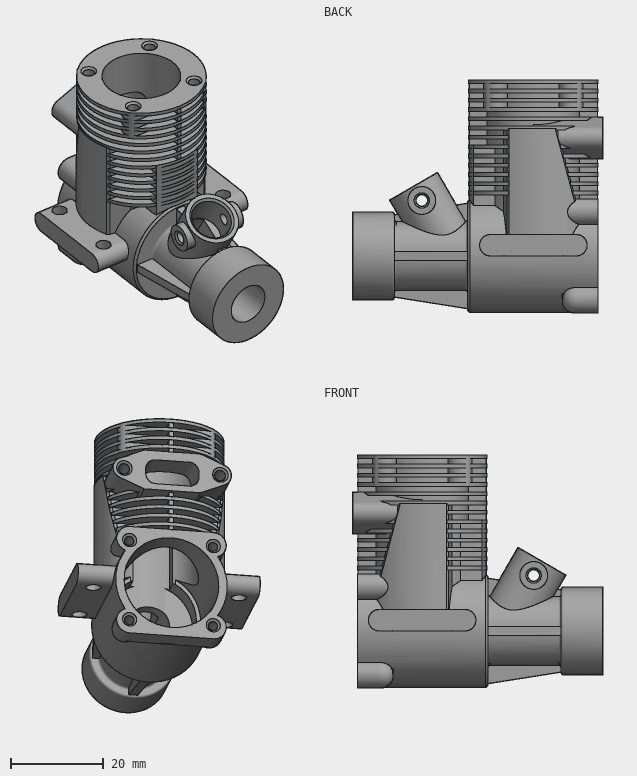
import cadquery as cq
import math


DECK_Z = 38.0
FIN_RADIUS = 14.0
FIN_THICKNESS = 0.8
FIN_PITCH = 2.0
FIN_COUNT = 13
BARREL_RADIUS = 10.0
CYLINDER_BORE_RADIUS = 8.5
FIN_WEB_WIDTH = 0.95
FIN_WEB_REACH = 13.85

HEAD_BOLT_CIRCLE_RADIUS = 11.5
HEAD_BOSS_RADIUS = 2.58
HEAD_BOSS_FIN = 3
HEAD_HOLE_DEPTH = 6.0
HEAD_HOLE_DIAMETER = 2.5
HEAD_HOLE_MOUTH_DIAMETER = 3.4

CASE_REAR_X = -FIN_RADIUS
CASE_FRONT_X = 14.2
CASE_RADIUS = 12.25
CASE_CHAMFER = 0.5
CASE_BORE_RADIUS = 10.4
CASE_BORE_END_X = 6.92
CASE_RECESS_RADIUS = 9.5
CASE_RECESS_END_X = 11.5
SHAFT_BORE_RADIUS = 4.5

NOSE_RADIUS = 7.5
NOSE_FILLET = 0.5
BEARING_START_X = 30.0
BEARING_RADIUS = 9.5
NOSE_END_X = 39.0
NOSE_RIB_THICKNESS = 2.0
NOSE_RIB_CASE_HEIGHT = 11.4
NOSE_RIB_BEARING_HEIGHT = 8.9

LUG_CENTER_Y = 9.2
LUG_CENTER_Z = 9.5
LUG_RADIUS = 2.85
LUG_LENGTH = 5.0
LUG_HOLE_OFFSET = 9.2
LUG_HOLE_DIAMETER = 2.05
LUG_HOLE_MOUTH_DIAMETER = 3.1

SIDE_BULGE_RADIUS = 14.13
SIDE_BULGE_TOP_Z = 27.5
SIDE_BULGE_TOP_REAR_X = -5.1
SIDE_BULGE_SLOPE = math.radians(14.7)
SIDE_BULGE_FRONT_X = 5.4
SIDE_BULGE_CHAMFER = 0.4
SIDE_BULGE_DRAFT = math.radians(9.5)
FRONT_BULGE_FIN = 7
FRONT_BULGE_HALF_WIDTH = 5.6
FRONT_BULGE_FACE_HALF_WIDTH = 5.5
FRONT_BULGE_SIDE_X = 11.95
FRONT_BULGE_FACE_X = 12.95
FRONT_BULGE_CROWN_X = 13.9
TRANSFER_RADIUS = 12.0
TRANSFER_WIDTH = 8.7
TRANSFER_ROOF = FRONT_BULGE_CROWN_X - TRANSFER_RADIUS

EXHAUST_FACE_X = -15.0
EXHAUST_CENTER_Z = 25.45
EXHAUST_HALF_HEIGHT = 4.5
EXHAUST_FLAT_HALF_WIDTH = 6.2
EXHAUST_BOLT_Y = 10.55
EXHAUST_EAR_RADIUS = 2.45
EXHAUST_PORT_WIDTH = 11.7
EXHAUST_PORT_HEIGHT = 5.55
EXHAUST_PORT_CORNER = 2.2
EXHAUST_PORT_Z = 25.1
EXHAUST_HOLE_DIAMETER = 2.4
EXHAUST_HOLE_MOUTH_DIAMETER = 3.4
EXHAUST_HOLE_DEPTH = 6.0

MOUNT_LENGTH = 23.2
MOUNT_THICKNESS = 4.65
MOUNT_SPAN = 40.0
MOUNT_HOLE_DIAMETER = 3.25
MOUNT_HOLE_X = 8.0
MOUNT_HOLE_Y = 16.0

INTAKE_TILT = 30.0
INTAKE_TOP_X = 25.85
INTAKE_TOP_Z = 15.05
INTAKE_RADIUS = 6.0
INTAKE_TUBE_LENGTH = 13.5
INTAKE_BORE_RADIUS = 4.5
INTAKE_MOUTH_RADIUS = 5.0
INTAKE_BORE_DEPTH = 8.0
INTAKE_SLOT_WIDTH = 5.5
INTAKE_SLOT_RADIUS = 4.2
CLAMP_DEPTH = 3.55
CLAMP_BOSS_RADIUS = 3.0
CLAMP_BOSS_SPAN = 15.0
CLAMP_HOLE_DIAMETER = 2.5
CLAMP_HOLE_MOUTH_DIAMETER = 3.3


def x_cylinder(radius, start_x, end_x, y=0.0, z=0.0):
    axis_start = cq.Vector(start_x, y, z)
    return cq.Workplane(cq.Solid.makeCylinder(radius, end_x - start_x, axis_start, cq.Vector(1, 0, 0)))


def y_cylinder(radius, span, x, z):
    axis_start = cq.Vector(x, -span / 2, z)
    return cq.Workplane(cq.Solid.makeCylinder(radius, span, axis_start, cq.Vector(0, 1, 0)))


def z_cylinder(radius, start_z, end_z, x=0.0, y=0.0):
    axis_start = cq.Vector(x, y, start_z)
    return cq.Workplane(cq.Solid.makeCylinder(radius, end_z - start_z, axis_start))


def fin_top(index):
    return DECK_Z - index * FIN_PITCH


def mouthed_hole(position, direction, diameter, mouth_diameter, depth):
    """Round hole with a 45 degree chamfered mouth."""
    start = cq.Vector(*position)
    axis = cq.Vector(*direction)
    mouth_depth = (mouth_diameter - diameter) / 2
    hole = cq.Solid.makeCylinder(diameter / 2, depth, start, axis)
    mouth = cq.Solid.makeCone(mouth_diameter / 2, diameter / 2, mouth_depth, start, axis)
    return cq.Workplane(hole).union(cq.Workplane(mouth))


def head_bolt_points():
    offset = HEAD_BOLT_CIRCLE_RADIUS / math.sqrt(2)
    return [(sx * offset, sy * offset) for sx in (-1, 1) for sy in (-1, 1)]


def finned_cylinder():
    body = z_cylinder(BARREL_RADIUS, 0, DECK_Z)
    lowest_fin_bottom = fin_top(FIN_COUNT - 1) - FIN_THICKNESS
    for index in range(FIN_COUNT):
        body = body.union(z_cylinder(FIN_RADIUS, fin_top(index) - FIN_THICKNESS, fin_top(index)))
    web_bottom = lowest_fin_bottom - FIN_PITCH
    web = cq.Workplane("XY").workplane(offset=web_bottom).rect(2 * FIN_WEB_REACH, FIN_WEB_WIDTH)
    body = body.union(web.extrude(DECK_Z - web_bottom))
    boss_bottom = fin_top(HEAD_BOSS_FIN) - FIN_THICKNESS
    for x, y in head_bolt_points():
        body = body.union(z_cylinder(HEAD_BOSS_RADIUS, boss_bottom, DECK_Z, x, y))
    boss_offset = HEAD_BOLT_CIRCLE_RADIUS / math.sqrt(2)
    walls = cq.Workplane("XY").workplane(offset=boss_bottom)
    walls = walls.rect(2 * (boss_offset + HEAD_BOSS_RADIUS), 2 * boss_offset)
    body = body.union(walls.extrude(DECK_Z - boss_bottom))
    return body


def crankcase_and_nose():
    """Turned body about X: crankcase, necked nose and front bearing housing."""
    f = NOSE_FILLET
    bend = f * (1 - math.sqrt(0.5))
    profile = (
        cq.Workplane("XY")
        .moveTo(CASE_REAR_X, 0)
        .lineTo(CASE_REAR_X, CASE_RADIUS)
        .lineTo(CASE_FRONT_X - CASE_CHAMFER, CASE_RADIUS)
        .lineTo(CASE_FRONT_X, CASE_RADIUS - CASE_CHAMFER)
        .lineTo(CASE_FRONT_X, NOSE_RADIUS + f)
        .threePointArc((CASE_FRONT_X + bend, NOSE_RADIUS + bend), (CASE_FRONT_X + f, NOSE_RADIUS))
        .lineTo(BEARING_START_X - f, NOSE_RADIUS)
        .threePointArc((BEARING_START_X - bend, NOSE_RADIUS + bend), (BEARING_START_X, NOSE_RADIUS + f))
        .lineTo(BEARING_START_X, BEARING_RADIUS - f)
        .threePointArc((BEARING_START_X + bend, BEARING_RADIUS - bend), (BEARING_START_X + f, BEARING_RADIUS))
        .lineTo(NOSE_END_X, BEARING_RADIUS)
        .lineTo(NOSE_END_X, 0)
        .close()
    )
    return profile.revolve(360, (0, 0, 0), (1, 0, 0))


def nose_ribs():
    """Two crossed tapered plates, giving four ribs around the nose."""
    plate = (
        cq.Workplane("XZ")
        .polyline([
            (CASE_FRONT_X - CASE_CHAMFER, -NOSE_RIB_CASE_HEIGHT),
            (CASE_FRONT_X, -NOSE_RIB_CASE_HEIGHT),
            (BEARING_START_X, -NOSE_RIB_BEARING_HEIGHT),
            (BEARING_START_X, NOSE_RIB_BEARING_HEIGHT),
            (CASE_FRONT_X, NOSE_RIB_CASE_HEIGHT),
            (CASE_FRONT_X - CASE_CHAMFER, NOSE_RIB_CASE_HEIGHT),
        ])
        .close()
        .extrude(NOSE_RIB_THICKNESS / 2, both=True)
    )
    return plate.union(plate.rotate((0, 0, 0), (1, 0, 0), 90))


def backplate_lugs():
    """Four lugs joined in pairs by flat pads above and below the crankcase.

    The lower lugs have rounded ends; the upper ones run into the side bulges.
    """
    round_x = CASE_REAR_X + LUG_LENGTH
    pad_height = 2 * (LUG_CENTER_Z + LUG_RADIUS)
    lugs = cq.Workplane("XY").box(LUG_LENGTH, 2 * LUG_CENTER_Y, pad_height)
    lugs = lugs.translate((CASE_REAR_X + LUG_LENGTH / 2, 0, 0))
    for y in (-LUG_CENTER_Y, LUG_CENTER_Y):
        for z in (-LUG_CENTER_Z, LUG_CENTER_Z):
            lugs = lugs.union(x_cylinder(LUG_RADIUS, CASE_REAR_X, round_x, y, z))
        lugs = lugs.union(cq.Workplane("XY").sphere(LUG_RADIUS).translate((round_x, y, -LUG_CENTER_Z)))
        lugs = lugs.union(x_cylinder(LUG_RADIUS, round_x, round_x + LUG_RADIUS, y, LUG_CENTER_Z))
    return lugs


def side_bulges():
    """Passages on both flanks: sloped rear wall and a front wall drafted in plan."""
    slope_run = SIDE_BULGE_TOP_Z * math.tan(SIDE_BULGE_SLOPE)
    draft_run = SIDE_BULGE_RADIUS * math.tan(SIDE_BULGE_DRAFT)
    root_front_x = SIDE_BULGE_FRONT_X + draft_run
    rear_limit = (
        cq.Workplane("XZ")
        .polyline([
            (SIDE_BULGE_TOP_REAR_X - slope_run, 0),
            (SIDE_BULGE_TOP_REAR_X, SIDE_BULGE_TOP_Z),
            (root_front_x, SIDE_BULGE_TOP_Z),
            (root_front_x, 0),
        ])
        .close()
        .extrude(SIDE_BULGE_RADIUS, both=True)
    )
    plan = (
        cq.Workplane("XY")
        .polyline([
            (-SIDE_BULGE_RADIUS, -SIDE_BULGE_RADIUS),
            (SIDE_BULGE_FRONT_X, -SIDE_BULGE_RADIUS),
            (root_front_x, 0),
            (SIDE_BULGE_FRONT_X, SIDE_BULGE_RADIUS),
            (-SIDE_BULGE_RADIUS, SIDE_BULGE_RADIUS),
        ])
        .close()
        .extrude(SIDE_BULGE_TOP_Z)
    )
    bulges = z_cylinder(SIDE_BULGE_RADIUS, 0, SIDE_BULGE_TOP_Z).intersect(plan).intersect(rear_limit)
    rims = bulges.faces("%CYLINDER").edges("not(>Z or <Z)")
    return rims.chamfer(SIDE_BULGE_CHAMFER)


def front_bulge():
    return (
        cq.Workplane("XY")
        .moveTo(0, -FRONT_BULGE_HALF_WIDTH)
        .lineTo(FRONT_BULGE_SIDE_X, -FRONT_BULGE_HALF_WIDTH)
        .lineTo(FRONT_BULGE_FACE_X, -FRONT_BULGE_FACE_HALF_WIDTH)
        .threePointArc((FRONT_BULGE_CROWN_X, 0), (FRONT_BULGE_FACE_X, FRONT_BULGE_FACE_HALF_WIDTH))
        .lineTo(FRONT_BULGE_SIDE_X, FRONT_BULGE_HALF_WIDTH)
        .lineTo(0, FRONT_BULGE_HALF_WIDTH)
        .close()
        .extrude(fin_top(FRONT_BULGE_FIN))
    )


def exhaust_flange():
    """Six-sided flange with round ears, reaching inward to the cylinder axis."""
    dy = EXHAUST_BOLT_Y - EXHAUST_FLAT_HALF_WIDTH
    dz = EXHAUST_HALF_HEIGHT
    distance = math.hypot(dy, dz)
    normal_angle = math.atan2(dz, -dy) - math.acos(EXHAUST_EAR_RADIUS / distance)
    tangent_y = EXHAUST_BOLT_Y + EXHAUST_EAR_RADIUS * math.cos(normal_angle)
    tangent_z = EXHAUST_EAR_RADIUS * math.sin(normal_angle)
    flange = (
        cq.Workplane("YZ", origin=(EXHAUST_FACE_X, 0, EXHAUST_CENTER_Z))
        .moveTo(-EXHAUST_FLAT_HALF_WIDTH, EXHAUST_HALF_HEIGHT)
        .lineTo(EXHAUST_FLAT_HALF_WIDTH, EXHAUST_HALF_HEIGHT)
        .lineTo(tangent_y, tangent_z)
        .threePointArc((EXHAUST_BOLT_Y + EXHAUST_EAR_RADIUS, 0), (tangent_y, -tangent_z))
        .lineTo(EXHAUST_FLAT_HALF_WIDTH, -EXHAUST_HALF_HEIGHT)
        .lineTo(-EXHAUST_FLAT_HALF_WIDTH, -EXHAUST_HALF_HEIGHT)
        .lineTo(-tangent_y, -tangent_z)
        .threePointArc((-EXHAUST_BOLT_Y - EXHAUST_EAR_RADIUS, 0), (-tangent_y, tangent_z))
        .close()
    )
    return flange.extrude(-EXHAUST_FACE_X)


def engine_mounts():
    center_z = MOUNT_THICKNESS / 2
    bar = cq.Workplane("XZ", origin=(0, 0, center_z)).slot2D(MOUNT_LENGTH, MOUNT_THICKNESS)
    return bar.extrude(MOUNT_SPAN / 2, both=True)


def place_on_intake(shape):
    """Move a shape built downward from the origin onto the tilted intake axis."""
    return shape.rotate((0, 0, 0), (0, 1, 0), INTAKE_TILT).translate((INTAKE_TOP_X, 0, INTAKE_TOP_Z))


def clamp_axis_position():
    tilt = math.radians(INTAKE_TILT)
    return INTAKE_TOP_X - CLAMP_DEPTH * math.sin(tilt), INTAKE_TOP_Z - CLAMP_DEPTH * math.cos(tilt)


def intake_tube():
    x, z = clamp_axis_position()
    tube = place_on_intake(z_cylinder(INTAKE_RADIUS, -INTAKE_TUBE_LENGTH, 0))
    return tube.union(y_cylinder(CLAMP_BOSS_RADIUS, CLAMP_BOSS_SPAN, x, z))


def intake_cut():
    """Chamfered bore with a flat floor, then a flat-sided slot down to the shaft bore."""
    bore = mouthed_hole((0, 0, 0), (0, 0, -1), 2 * INTAKE_BORE_RADIUS, 2 * INTAKE_MOUTH_RADIUS,
                        INTAKE_BORE_DEPTH)
    slot_depth = INTAKE_TOP_Z / math.cos(math.radians(INTAKE_TILT))
    slot = z_cylinder(INTAKE_SLOT_RADIUS, -slot_depth, -INTAKE_BORE_DEPTH)
    sides = cq.Workplane("XY").box(2 * INTAKE_SLOT_RADIUS, INTAKE_SLOT_WIDTH, 2 * slot_depth)
    return place_on_intake(bore.union(slot.intersect(sides)))


def cut_main_bores(body):
    body = body.cut(z_cylinder(CYLINDER_BORE_RADIUS, 0, DECK_Z))
    body = body.cut(x_cylinder(CASE_BORE_RADIUS, CASE_REAR_X, CASE_BORE_END_X))
    body = body.cut(x_cylinder(CASE_RECESS_RADIUS, CASE_REAR_X, CASE_RECESS_END_X))
    return body.cut(x_cylinder(SHAFT_BORE_RADIUS, CASE_REAR_X, NOSE_END_X))


def cut_transfer_passage(body):
    """Channel up the front bulge, open to the cylinder bore and the crankcase."""
    height = fin_top(FRONT_BULGE_FIN) - TRANSFER_ROOF
    channel = cq.Workplane("XY").box(TRANSFER_RADIUS, TRANSFER_WIDTH, height, centered=(False, True, False))
    return body.cut(channel.intersect(z_cylinder(TRANSFER_RADIUS, 0, height)))


def cut_exhaust(body):
    port = (
        cq.Workplane("YZ", origin=(EXHAUST_FACE_X, 0, EXHAUST_PORT_Z))
        .rect(EXHAUST_PORT_WIDTH, EXHAUST_PORT_HEIGHT)
        .extrude(-EXHAUST_FACE_X)
        .edges("|X")
        .fillet(EXHAUST_PORT_CORNER)
    )
    body = body.cut(port)
    tip_height = EXHAUST_HOLE_DIAMETER / 2
    tip_x = EXHAUST_FACE_X + EXHAUST_HOLE_DEPTH
    for y in (-EXHAUST_BOLT_Y, EXHAUST_BOLT_Y):
        body = body.cut(mouthed_hole((EXHAUST_FACE_X, y, EXHAUST_CENTER_Z), (1, 0, 0),
                                     EXHAUST_HOLE_DIAMETER, EXHAUST_HOLE_MOUTH_DIAMETER, EXHAUST_HOLE_DEPTH))
        tip = cq.Solid.makeCone(EXHAUST_HOLE_DIAMETER / 2, 0, tip_height,
                                cq.Vector(tip_x, y, EXHAUST_CENTER_Z), cq.Vector(1, 0, 0))
        body = body.cut(cq.Workplane(tip))
    return body


def cut_bolt_holes(body):
    for x, y in head_bolt_points():
        body = body.cut(mouthed_hole((x, y, DECK_Z), (0, 0, -1), HEAD_HOLE_DIAMETER,
                                     HEAD_HOLE_MOUTH_DIAMETER, HEAD_HOLE_DEPTH))
    for y in (-LUG_HOLE_OFFSET, LUG_HOLE_OFFSET):
        for z in (-LUG_HOLE_OFFSET, LUG_HOLE_OFFSET):
            body = body.cut(mouthed_hole((CASE_REAR_X, y, z), (1, 0, 0), LUG_HOLE_DIAMETER,
                                         LUG_HOLE_MOUTH_DIAMETER, LUG_LENGTH + LUG_RADIUS))
    for x in (-MOUNT_HOLE_X, MOUNT_HOLE_X):
        for y in (-MOUNT_HOLE_Y, MOUNT_HOLE_Y):
            body = body.cut(z_cylinder(MOUNT_HOLE_DIAMETER / 2, 0, MOUNT_THICKNESS, x, y))
    return body


def cut_clamp_hole(body):
    x, z = clamp_axis_position()
    for side in (-1, 1):
        body = body.cut(mouthed_hole((x, side * CLAMP_BOSS_SPAN / 2, z), (0, -side, 0), CLAMP_HOLE_DIAMETER,
                                     CLAMP_HOLE_MOUTH_DIAMETER, CLAMP_BOSS_SPAN / 2))
    return body


result = finned_cylinder()
for feature in (
    crankcase_and_nose(),
    nose_ribs(),
    backplate_lugs(),
    side_bulges(),
    front_bulge(),
    exhaust_flange(),
    engine_mounts(),
    intake_tube(),
):
    result = result.union(feature)
result = cut_main_bores(result)
result = cut_transfer_passage(result)
result = cut_exhaust(result)
result = result.cut(intake_cut())
result = cut_bolt_holes(result)
result = cut_clamp_hole(result)